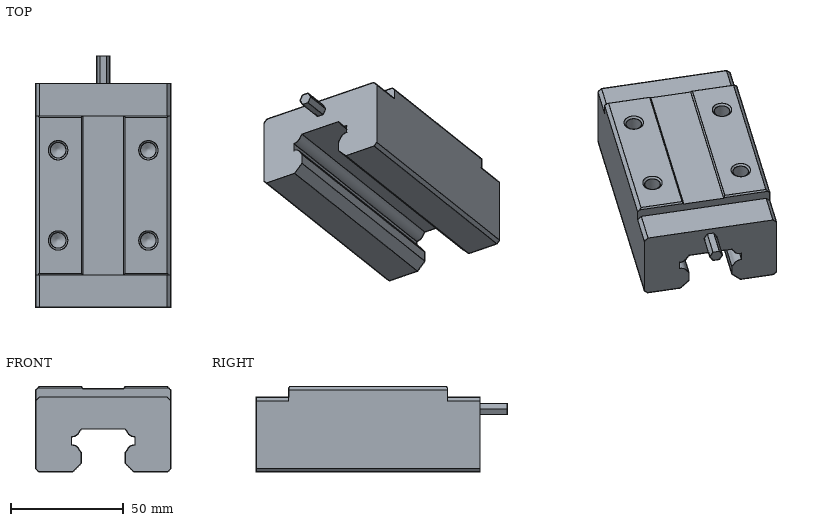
import cadquery as cq
import math

width = 60.0
height = 38.0
overall_length = 111.5
stem_length = 12.2
body_length = overall_length - stem_length

bottom_chamfer = 1.5
top_chamfer = 1.7

cap_length = 14.4
cap_height = 33.2
block_length = body_length - 2 * cap_length

relief_floor_width = 18.1
relief_depth = 1.0
relief_wall_run = 0.7
pad_end_chamfer = 0.7

raceway_level = 13.8
throat_half_width = 9.7
throat_half_height = 5.2
raceway_start_half_width = 10.6
raceway_start_half_height = 4.0
groove_half_width = 14.0
groove_half_height = 1.8
raceway_radius = 3.6
mouth_half_width = 13.6
mouth_chamfer = mouth_half_width - throat_half_width

hole_spacing = 40.0
hole_diameter = 6.9
hole_mouth_diameter = 8.6
hole_depth = 12.0
drill_point_angle = 118.0

stem_across_flats = 5.0
stem_centre_height = 28.0


def block_between(y_start, length, top):
    """Bar along Y with its long top and bottom outer edges chamfered."""
    bar = cq.Workplane("XY").box(width, length, top, centered=(True, False, False))
    bar = bar.translate((0, y_start, 0))
    bar = bar.edges("|Y and >Z").chamfer(top_chamfer)
    return bar.edges("|Y and <Z").chamfer(bottom_chamfer)


def carriage_block():
    """Tall middle section with end chamfers and the relief between its pads."""
    block = block_between(-block_length / 2, block_length, height)
    block = block.faces(">Z").edges("|X").chamfer(pad_end_chamfer)

    floor_half = relief_floor_width / 2
    floor_level = height - relief_depth
    relief = (
        cq.Workplane("XZ", origin=(0, block_length / 2, 0))
        .moveTo(-floor_half, floor_level)
        .lineTo(floor_half, floor_level)
        .lineTo(floor_half + relief_wall_run, height)
        .lineTo(-floor_half - relief_wall_run, height)
        .close()
        .extrude(block_length)
    )
    return block.cut(relief)


def rail_channel():
    """Through channel with two convex raceways and a side groove in each wall."""
    half = (
        cq.Workplane("XZ", origin=(0, body_length / 2, 0))
        .moveTo(0, raceway_level + throat_half_height)
        .lineTo(throat_half_width, raceway_level + throat_half_height)
        .lineTo(raceway_start_half_width, raceway_level + raceway_start_half_height)
        .radiusArc((groove_half_width, raceway_level + groove_half_height), -raceway_radius)
        .lineTo(groove_half_width, raceway_level - groove_half_height)
        .radiusArc((raceway_start_half_width, raceway_level - raceway_start_half_height), -raceway_radius)
        .lineTo(throat_half_width, raceway_level - throat_half_height)
        .lineTo(throat_half_width, mouth_chamfer)
        .lineTo(mouth_half_width, 0)
        .lineTo(0, 0)
        .close()
        .extrude(body_length)
    )
    return half.union(half.mirror("YZ"))


def mounting_hole():
    """Countersunk blind hole with a drill point, revolved about Z at the origin."""
    radius = hole_diameter / 2
    mouth_radius = hole_mouth_diameter / 2
    floor_level = height - hole_depth
    point_depth = radius / math.tan(math.radians(drill_point_angle / 2))
    return (
        cq.Workplane("XZ")
        .moveTo(0, height)
        .lineTo(mouth_radius, height)
        .lineTo(radius, height - (mouth_radius - radius))
        .lineTo(radius, floor_level)
        .lineTo(0, floor_level - point_depth)
        .close()
        .revolve(360, (0, 0, 0), (0, 1, 0))
    )


def hexagonal_stem():
    """Stem with flats on top and bottom, standing out of the rear end cap."""
    across_corners = stem_across_flats / math.cos(math.radians(30))
    return (
        cq.Workplane("XZ", origin=(0, body_length / 2 + stem_length, stem_centre_height))
        .polygon(6, across_corners)
        .extrude(stem_length)
    )


body = carriage_block()
for cap_start in (-body_length / 2, block_length / 2):
    body = body.union(block_between(cap_start, cap_length, cap_height))

body = body.cut(rail_channel())
for x in (-hole_spacing / 2, hole_spacing / 2):
    for y in (-hole_spacing / 2, hole_spacing / 2):
        body = body.cut(mounting_hole().translate((x, y, 0)))

result = body.union(hexagonal_stem())